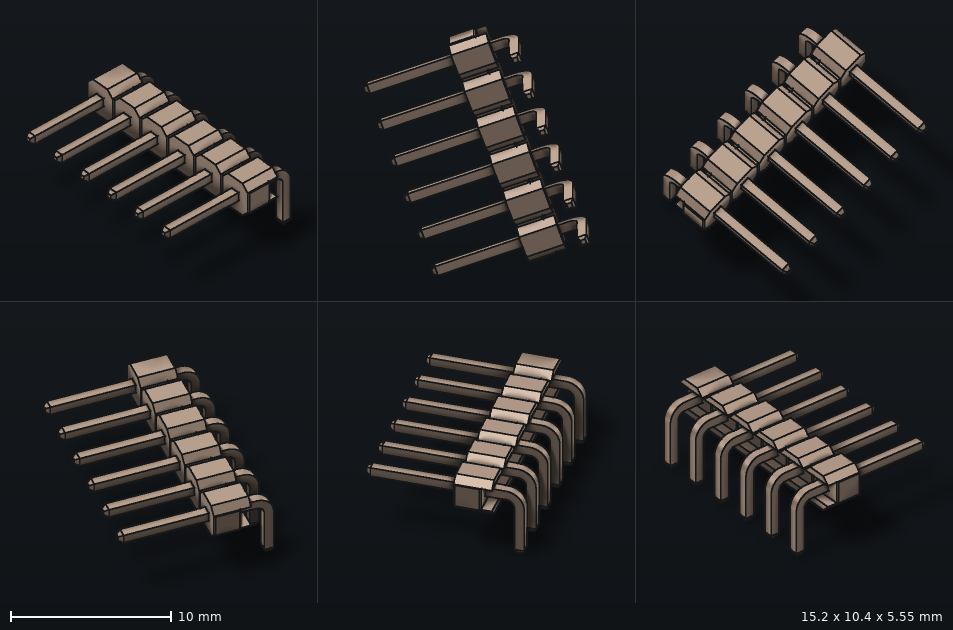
import cadquery as cq


row_length = 15.24
pin_count = 6
pitch = row_length / pin_count

housing_depth = 2.5
housing_height = 2.55
web_overhang = 0.09
block_width = pitch - 2 * web_overhang
corner_chamfer = 0.49
web_height = housing_height - 2 * corner_chamfer
channel_depth = 0.7
web_depth = housing_depth - channel_depth

pin_width = 0.64
tip_length = 0.3
tip_width = pin_width / 2
contact_reach = 6.0
leg_setback = 1.85
leg_drop = 3.0
bend_outer_radius = 1.2
bend_inner_radius = bend_outer_radius - pin_width

half_pin = pin_width / 2
leg_back_y = housing_depth + leg_setback
leg_front_y = leg_back_y - pin_width
leg_center_y = leg_back_y - half_pin
bend_start_y = leg_back_y - bend_outer_radius
bend_end_z = half_pin - bend_outer_radius
contact_shoulder_y = tip_length - contact_reach
leg_shoulder_z = tip_length - housing_height / 2 - leg_drop

pin_positions = [(i - (pin_count - 1) / 2) * pitch for i in range(pin_count)]


def make_block(x):
    """Octagonal block around one pin."""
    return (
        cq.Workplane("XY")
        .box(block_width, housing_depth, housing_height, centered=(True, False, True))
        .edges("|Y")
        .chamfer(corner_chamfer)
        .translate((x, 0, 0))
    )


def make_web(x):
    """Slab wider than its block, with bevelled upright edges that leave V grooves between the blocks."""
    return (
        cq.Workplane("XY")
        .box(pitch, web_depth, web_height, centered=(True, False, True))
        .edges("|Z")
        .chamfer(web_overhang)
        .translate((x, 0, 0))
    )


def make_housing():
    channel = (
        cq.Workplane("XY")
        .box(row_length, channel_depth, web_height, centered=(True, False, True))
        .translate((0, web_depth, 0))
    )
    body = make_block(pin_positions[0]).union(make_web(pin_positions[0]))
    for x in pin_positions[1:]:
        body = body.union(make_block(x)).union(make_web(x))
    body = body.cut(channel)

    for x in pin_positions:
        hole = (
            cq.Workplane("XY")
            .box(pin_width, housing_depth, pin_width, centered=(True, False, True))
            .translate((x, 0, 0))
        )
        body = body.cut(hole)
    return body


def make_tip(base_plane):
    """Tapered square tip growing along the normal of the given plane."""
    return (
        cq.Workplane(base_plane)
        .rect(pin_width, pin_width)
        .workplane(offset=tip_length)
        .rect(tip_width, tip_width)
        .loft(ruled=True)
    )


def make_pin(x):
    """Square pin running back through the housing and bent down into its leg."""
    bend_center = cq.Vector(bend_start_y, bend_end_z)
    diagonal = cq.Vector(1, 1).normalized()
    outer_middle = bend_center + diagonal * bend_outer_radius
    inner_middle = bend_center + diagonal * bend_inner_radius

    shaft = (
        cq.Workplane("YZ")
        .moveTo(contact_shoulder_y, half_pin)
        .lineTo(bend_start_y, half_pin)
        .threePointArc((outer_middle.x, outer_middle.y), (leg_back_y, bend_end_z))
        .lineTo(leg_back_y, leg_shoulder_z)
        .lineTo(leg_front_y, leg_shoulder_z)
        .lineTo(leg_front_y, bend_end_z)
        .threePointArc((inner_middle.x, inner_middle.y), (bend_start_y, -half_pin))
        .lineTo(contact_shoulder_y, -half_pin)
        .close()
        .extrude(half_pin, both=True)
    )
    contact_tip = make_tip(
        cq.Plane(origin=(0, contact_shoulder_y, 0), xDir=(1, 0, 0), normal=(0, -1, 0))
    )
    leg_tip = make_tip(
        cq.Plane(origin=(0, leg_center_y, leg_shoulder_z), xDir=(1, 0, 0), normal=(0, 0, -1))
    )
    return shaft.union(contact_tip).union(leg_tip).translate((x, 0, 0))


housing = make_housing()
pins = [make_pin(x) for x in pin_positions]

result = cq.Compound.makeCompound([housing.solids().val(), *[pin.solids().val() for pin in pins]])